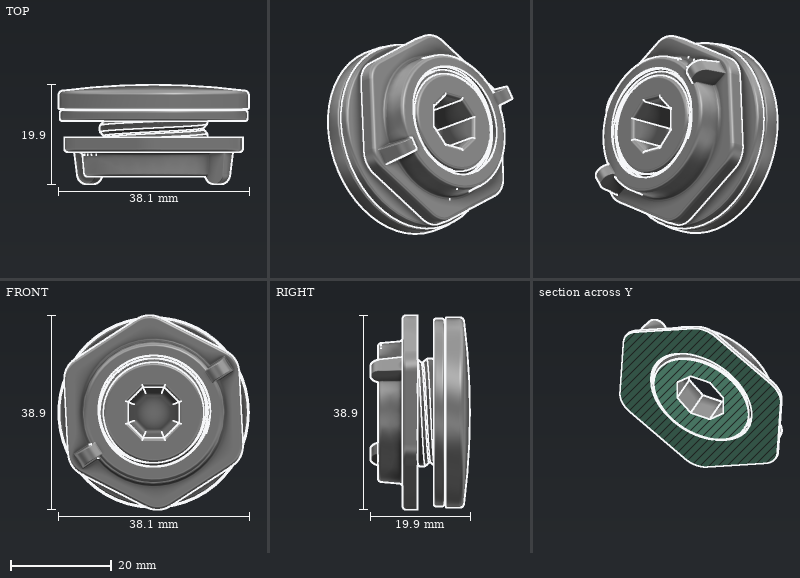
import cadquery as cq
import math


FLANGE_R = 38.1 / 2
DOME_TOP_Y = 7.28
DOME_HEIGHT = 1.15
FLANGE_TOP_ROUND = 1.02
FLANGE_BOTTOM_ROUND = 0.3
SEAT_R = 17.88
SEAT_HEIGHT = 0.2

GASKET_R = 37.59 / 2
GASKET_THICKNESS = 2.2
GASKET_ROUND = 0.56
SHOULDER_R = 22.61 / 2

STUD_ROOT_R = 20.07 / 2
STUD_CREST_R = 10.84
STUD_END_ROUND = 0.7
PITCH = 3.175
CREST_WIDTH = 1.3
CREST_CROWN = 0.12
STUD_ROOT_WIDTH = 0.35
THREAD_OVERLAP = 0.08
THREAD_LEAD_IN = 1.5
STUD_CREST_ANGLE = 8.0

SOCKET_FLATS = 10.16
SOCKET_MOUTH_ROUND = 0.7
SOCKET_FLOOR_ROUND = 1.97

PANEL_GAP = 3.175
NUT_TOP_Y = -PANEL_GAP
PLATE_THICKNESS = 3.05
PLATE_BOTTOM_Y = NUT_TOP_Y - PLATE_THICKNESS
PLATE_FLATS = 35.0
PLATE_CORNER_R = 4.83
PLATE_EDGE_ROUND = 0.76
NUT_ANGLE = 33.0

BOSS_HEIGHT = 4.9
BOSS_END_Y = PLATE_BOTTOM_Y - BOSS_HEIGHT
BOSS_BASE_R = 14.27
BOSS_DRAFT = 5.0
BOSS_ROOT_ROUND = 0.65
BOSS_END_ROUND = 0.76
NUT_CREST_R = 10.87
NUT_GROOVE_R = 11.43
NUT_LAND_WIDTH = 1.0
NUT_GROOVE_ANGLE = 75.0

TAB_COUNT = 2
TAB_TIP_Y = -12.63
TAB_TIP_R = 2.25
TAB_TIP_CENTER_R = 15.2
TAB_OUTER_DRAFT = 6.5
TAB_BASE_WIDTH = 3.4
TAB_SIDE_DRAFT = 3.0
TAB_EDGE_ROUND = 0.15
TAB_ROOT_ROUND = 0.2
TAB_ROOT_DEPTH = 1.0

STUD_END_Y = BOSS_END_Y
FLANGE_BOTTOM_Y = GASKET_THICKNESS + SEAT_HEIGHT


def thread_coil(root_r, crest_r, root_width, start_y, end_y, start_angle):
    """Right-handed trapezoid ridge wound around the Y axis from start_y down to end_y.

    The middle of the ridge starts at start_angle, measured from +X towards +Z.
    """
    inner_r = root_r - THREAD_OVERLAP
    crest_half = CREST_WIDTH / 2
    flank_run = (PITCH - root_width - CREST_WIDTH) / 2
    shoulder_r = crest_r - CREST_CROWN
    base_half = crest_half + flank_run * (shoulder_r - inner_r) / (shoulder_r - root_r)
    helix = cq.Workplane(cq.Wire.makeHelix(PITCH, start_y - end_y, inner_r))
    ridge = (
        cq.Workplane("XZ")
        .moveTo(inner_r, -base_half)
        .lineTo(shoulder_r, -crest_half)
        .threePointArc((crest_r, 0), (shoulder_r, crest_half))
        .lineTo(inner_r, base_half)
        .close()
        .sweep(helix, isFrenet=True)
    )
    wound_down = ridge.rotate((0, 0, 0), (1, 0, 0), 90)
    return wound_down.rotate((0, 0, 0), (0, 1, 0), -start_angle).translate((0, start_y, 0))


def cylinder(radius, start_y, end_y):
    """Cylinder about the Y axis from start_y down to end_y."""
    return cq.Workplane("XZ", origin=(0, start_y, 0)).circle(radius).extrude(start_y - end_y)


def make_flange():
    rim_y = DOME_TOP_Y - DOME_HEIGHT
    dome_edge_r = FLANGE_R - FLANGE_TOP_ROUND
    dome_r = (dome_edge_r**2 + DOME_HEIGHT**2) / (2 * DOME_HEIGHT)
    mid_r = dome_edge_r / 2
    mid_y = DOME_TOP_Y - dome_r + math.sqrt(dome_r**2 - mid_r**2)
    return (
        cq.Workplane("XY")
        .moveTo(0, GASKET_THICKNESS)
        .lineTo(SEAT_R, GASKET_THICKNESS)
        .lineTo(SEAT_R, FLANGE_BOTTOM_Y)
        .lineTo(FLANGE_R - FLANGE_BOTTOM_ROUND, FLANGE_BOTTOM_Y)
        .radiusArc((FLANGE_R, FLANGE_BOTTOM_Y + FLANGE_BOTTOM_ROUND), -FLANGE_BOTTOM_ROUND)
        .lineTo(FLANGE_R, rim_y - FLANGE_TOP_ROUND)
        .radiusArc((dome_edge_r, rim_y), -FLANGE_TOP_ROUND)
        .threePointArc((mid_r, mid_y), (0, DOME_TOP_Y))
        .close()
        .revolve(360, (0, 0, 0), (0, 1, 0))
    )


def make_socket():
    """Cutter for the key socket, with its rounded floor at Y = 0."""
    corner_diameter = SOCKET_FLATS / math.cos(math.pi / 8)
    return (
        cq.Workplane("XZ")
        .transformed(rotate=(0, 0, 22.5))
        .polygon(8, corner_diameter)
        .extrude(-STUD_END_Y)
        .faces(">Y")
        .edges()
        .fillet(SOCKET_FLOOR_ROUND)
    )


def make_cap():
    thread_end_y = STUD_END_Y + STUD_END_ROUND
    core = cylinder(STUD_ROOT_R, 0, STUD_END_Y).faces("<Y").edges().fillet(STUD_END_ROUND)
    coil_end_y = STUD_END_Y - PITCH
    coil_start_angle = STUD_CREST_ANGLE - 360 * THREAD_LEAD_IN / PITCH
    coil = thread_coil(
        STUD_ROOT_R, STUD_CREST_R, STUD_ROOT_WIDTH, THREAD_LEAD_IN, coil_end_y, coil_start_angle
    )
    thread = coil.cut(cylinder(FLANGE_R, thread_end_y, coil_end_y - PITCH))
    stud = core.union(thread)
    shoulder = cylinder(SHOULDER_R, GASKET_THICKNESS, 0)
    cap = make_flange().union(shoulder).union(stud).cut(make_socket())
    mouth_r = SOCKET_FLATS / 2 / math.cos(math.pi / 8)
    mouth_box = cq.selectors.BoxSelector(
        (-mouth_r, STUD_END_Y - 0.1, -mouth_r),
        (mouth_r, STUD_END_Y + 0.1, mouth_r),
    )
    return cap.edges(mouth_box).edges("not %CIRCLE").fillet(SOCKET_MOUTH_ROUND)


def make_gasket():
    return (
        cylinder(GASKET_R, GASKET_THICKNESS, 0)
        .edges()
        .fillet(GASKET_ROUND)
        .cut(cylinder(SHOULDER_R, GASKET_THICKNESS, 0))
    )


def make_plate():
    corner_diameter = PLATE_FLATS / math.cos(math.pi / 6)
    return (
        cq.Workplane("XZ", origin=(0, NUT_TOP_Y, 0))
        .polygon(6, corner_diameter)
        .extrude(PLATE_THICKNESS)
        .edges("|Y")
        .fillet(PLATE_CORNER_R)
        .faces("<Y")
        .edges()
        .fillet(PLATE_EDGE_ROUND)
    )


def make_tab():
    """Grip tab on the +X side: a round-tipped profile along the radius, with drafted sides."""
    base_y = PLATE_BOTTOM_Y + TAB_ROOT_DEPTH
    tip_center_y = TAB_TIP_Y + TAB_TIP_R
    inner_r = TAB_TIP_CENTER_R - TAB_TIP_R
    outer_r = TAB_TIP_CENTER_R + TAB_TIP_R
    base_outer_r = outer_r + (base_y - tip_center_y) * math.tan(math.radians(TAB_OUTER_DRAFT))
    height = base_y - TAB_TIP_Y
    base_half = TAB_BASE_WIDTH / 2
    tip_half = base_half - height * math.tan(math.radians(TAB_SIDE_DRAFT))
    profile = (
        cq.Workplane("XY")
        .moveTo(inner_r, base_y)
        .lineTo(inner_r, tip_center_y)
        .threePointArc((TAB_TIP_CENTER_R, TAB_TIP_Y), (outer_r, tip_center_y))
        .lineTo(base_outer_r, base_y)
        .close()
        .extrude(base_half, both=True)
    )
    sides = (
        cq.Workplane("YZ")
        .polyline([(base_y, base_half), (TAB_TIP_Y, tip_half), (TAB_TIP_Y, -tip_half), (base_y, -base_half)])
        .close()
        .extrude(base_outer_r)
    )
    return profile.intersect(sides).edges("not(<X or >Y or |Z)").fillet(TAB_EDGE_ROUND)


def tab_root_edges():
    """Selector for the edges where the tab on the +X side meets the plate and the boss."""
    reach = TAB_BASE_WIDTH
    margin = 0.05
    plate_edges = cq.selectors.BoxSelector(
        (BOSS_BASE_R - margin, PLATE_BOTTOM_Y - margin, -reach / 2),
        (PLATE_FLATS / 2 + 1, PLATE_BOTTOM_Y + margin, reach / 2),
        boundingbox=True,
    )
    boss_edges = cq.selectors.BoxSelector(
        (TAB_TIP_CENTER_R - TAB_TIP_R, BOSS_END_Y - margin / 10, -reach / 2),
        (BOSS_BASE_R + BOSS_ROOT_ROUND, PLATE_BOTTOM_Y + margin, reach / 2),
        boundingbox=True,
    )
    return plate_edges + boss_edges


def make_nut():
    boss = (
        cq.Workplane("XZ", origin=(0, PLATE_BOTTOM_Y, 0))
        .circle(BOSS_BASE_R)
        .extrude(BOSS_HEIGHT, taper=BOSS_DRAFT)
        .faces("<Y")
        .edges()
        .fillet(BOSS_END_ROUND)
    )
    nut = make_plate().union(boss)
    root_box = cq.selectors.BoxSelector(
        (-BOSS_BASE_R, PLATE_BOTTOM_Y - 0.1, -BOSS_BASE_R),
        (BOSS_BASE_R, PLATE_BOTTOM_Y + 0.1, BOSS_BASE_R),
    )
    nut = nut.edges(root_box).edges("%CIRCLE").fillet(BOSS_ROOT_ROUND)
    tab = make_tab()
    for _ in range(TAB_COUNT):
        nut = nut.union(tab).edges(tab_root_edges()).fillet(TAB_ROOT_ROUND)
        nut = nut.rotate((0, 0, 0), (0, 1, 0), 360 / TAB_COUNT)
    nut = nut.rotate((0, 0, 0), (0, 1, 0), -NUT_ANGLE)
    nut = nut.cut(cylinder(NUT_CREST_R, NUT_TOP_Y, BOSS_END_Y))
    groove_start_y = NUT_TOP_Y + PITCH
    groove_end_y = BOSS_END_Y - PITCH
    groove_angle = NUT_GROOVE_ANGLE - 360 * (groove_start_y - BOSS_END_Y) / PITCH
    groove = thread_coil(NUT_CREST_R, NUT_GROOVE_R, NUT_LAND_WIDTH, groove_start_y, groove_end_y, groove_angle)
    return nut.cut(groove)


cap = make_cap()
gasket = make_gasket()
nut = make_nut()

result = cq.Compound.makeCompound([cap.val(), gasket.val(), nut.val()])